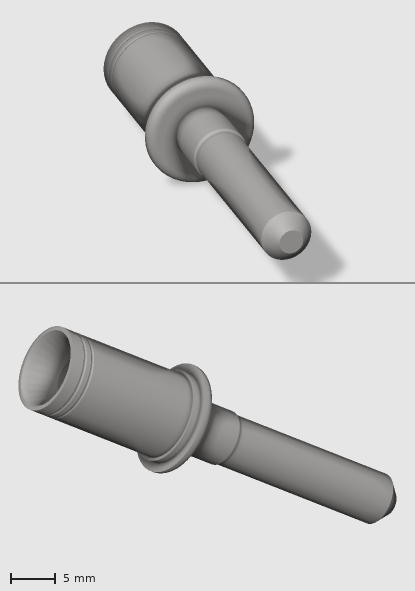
import cadquery as cq

length = 49.0

barrel_radius = 10.0 / 2
mouth_radius = 9.0 / 2
bore_radius = 5.0 / 2
countersink_depth = 3.65

groove_starts = (1.5, 2.55)
groove_width = 0.45
groove_floor_width = 0.1
groove_radius = 9.8 / 2

collar_start = 17.0
collar_radius = 10.8 / 2
flange_start = 17.95
flange_end = 19.2
flange_radius = 12.9 / 2
flange_fillet = 1.05

neck_radius = 6.4 / 2
blend_start = 25.1
blend_length = 0.6
pin_radius = 6.0 / 2
tip_length = 1.7
tip_radius = 2.85 / 2


def cylinder(start, end, radius):
    """Solid cylinder on the X axis between two X positions."""
    return cq.Workplane("YZ", origin=(start, 0, 0)).circle(radius).extrude(end - start)


def revolve_profile(points):
    """Revolve a closed outline of (x, radius) points about the X axis."""
    return cq.Workplane("XY").polyline(points).close().revolve(360, (0, 0, 0), (1, 0, 0))


def ring_groove(start):
    """Cutter for a shallow groove with sloping sides and a narrow flat floor."""
    end = start + groove_width
    side = (groove_width - groove_floor_width) / 2
    return revolve_profile([
        (start, collar_radius),
        (start, barrel_radius),
        (start + side, groove_radius),
        (end - side, groove_radius),
        (end, barrel_radius),
        (end, collar_radius),
    ])


barrel = cylinder(0, flange_start, barrel_radius)
mouth = revolve_profile([
    (0, 0),
    (0, mouth_radius),
    (countersink_depth, bore_radius),
    (collar_start, bore_radius),
    (collar_start, 0),
])

collar = cylinder(collar_start, flange_start, collar_radius)
flange = cylinder(flange_start, flange_end, flange_radius).faces(">X").edges().fillet(flange_fillet)

blend_middle = (blend_start + blend_length / 2, (neck_radius + pin_radius) / 2)
shaft = (
    cq.Workplane("XY")
    .moveTo(flange_start, 0)
    .lineTo(flange_start, neck_radius)
    .lineTo(blend_start, neck_radius)
    .tangentArcPoint(blend_middle, relative=False)
    .tangentArcPoint((blend_start + blend_length, pin_radius), relative=False)
    .lineTo(length - tip_length, pin_radius)
    .lineTo(length, tip_radius)
    .lineTo(length, 0)
    .close()
    .revolve(360, (0, 0, 0), (1, 0, 0))
)

result = barrel.union(collar).union(flange).union(shaft).cut(mouth)
for groove_start in groove_starts:
    result = result.cut(ring_groove(groove_start))